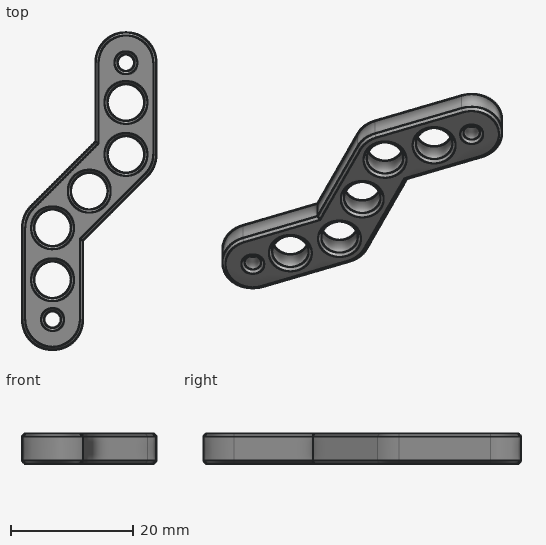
import cadquery as cq
import math

length = 52.0
width = 10.0
thickness = 5.0
side_step = 12.0
edge_chamfer = 0.5
large_hole_diameter = 6.0
small_hole_diameter = 2.7
large_hole_inset = 6.5

end_x = side_step / 2
end_y = (length - width) / 2
corner_y = side_step / 2
upper_end = (end_x, end_y)
upper_corner = (end_x, corner_y)
lower_corner = (-end_x, -corner_y)
lower_end = (-end_x, -end_y)


def arm(start, end):
    """Round-ended bar whose end arcs are centred on the two points."""
    dx = end[0] - start[0]
    dy = end[1] - start[1]
    middle = ((start[0] + end[0]) / 2, (start[1] + end[1]) / 2)
    return (
        cq.Workplane("XY")
        .center(*middle)
        .slot2D(math.hypot(dx, dy) + width, width, math.degrees(math.atan2(dy, dx)))
        .extrude(thickness)
    )


body = arm(lower_end, lower_corner)
body = body.union(arm(lower_corner, upper_corner))
body = body.union(arm(upper_corner, upper_end))
body = body.clean()

large_hole_centres = [
    (end_x, end_y - large_hole_inset),
    upper_corner,
    (0, 0),
    lower_corner,
    (-end_x, -end_y + large_hole_inset),
]
small_hole_centres = [upper_end, lower_end]

for centres, diameter in (
    (large_hole_centres, large_hole_diameter),
    (small_hole_centres, small_hole_diameter),
):
    holes = cq.Workplane("XY").pushPoints(centres).circle(diameter / 2).extrude(thickness)
    body = body.cut(holes)

result = body.faces("<Z or >Z").edges().chamfer(edge_chamfer)